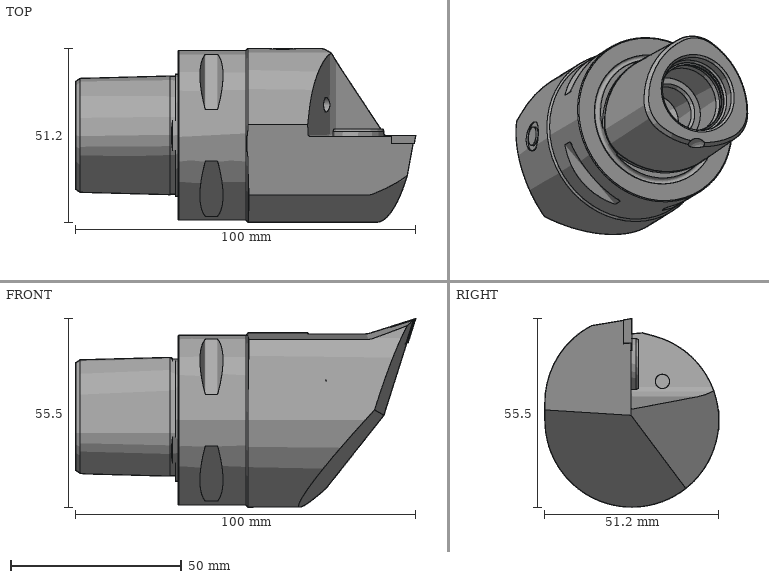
import cadquery as cq
import math


SHANK_END = 27.7
SHANK_RADIUS = 17.5
SHANK_TIP_RADIUS = 16.8
SHANK_CHAMFER = 1.3
CHAMFER_DROP = 0.9
NECK_DROP = 0.1
LOBE_HEIGHT = 1
LOBE_HALF_ANGLE = 27
LOBE_COUNT = 3
NOTCH_DIAMETER = 6.1
NOTCH_Z = -16.9

FLANGE_START = 30
FLANGE_END = 50
FLANGE_RADIUS = 25
FLANGE_CHAMFER = 0.3

COLLAR_START = 29.3
COLLAR_RADIUS = 18
LOBE_TRIM_LENGTH = 0.8
GROOVE_RADIUS = 0.8

SLOT_COUNT = 4
SLOT_X = 39.9
SLOT_DEPTH = 2.8
SLOT_FLOOR_WIDTH = 3.6
SLOT_MOUTH_WIDTH = 6.8
SLOT_FILLET = 0.4

BORE_STEPS = [
    (0, 11.8), (0.6, 11.1), (3.8, 11.1), (4.4, 10.5), (4.8, 10.5), (4.8, 10), (5.4, 10),
    (5.4, 10.5), (7.5, 10.5), (8.9, 10), (20, 10), (20, 8.2), (21, 7.5), (30, 7.5),
]
DRILL_POINT_ANGLE = 118

HEAD_RADIUS = 25.6
HEAD_RAISE = 5.1
HEAD_CHAMFER = 0.6
HEAD_LENGTH = 60
HEAD_CORNER_RADIUS = 30
HEAD_CORNER_X = 51
TOP_EDGE_Y = 3
BLEND_ANGLE = 15.6

TIP_X = 100
TIP_Z = 29.9
FACE_LEAN = 17.6
BACK_SLOPE = 17.5
FACE_CLEARANCE = 7
BACK_CLEARANCE = 6
BODY_INSET = 0.3
FLAT_Z = 25.4
FLAT_SLOPE = 5.5
FLAT_FILLET = 7
UNDERCUT_X = 91.1
UNDERCUT_Z = 1.9
UNDERCUT_ANGLE = 47.5

POCKET_Y = -0.3
WALL_X = 73.9
WALL_Z = 10.8
WALL_LEAN = 21
POCKET_FLOOR_SLOPE = 16
POCKET_FILLET = 6.5
POCKET_EDGE_FILLET = 0.6
BEVEL_X = 90.1
BEVEL_PER_Y = 0.71
BEVEL_PER_Z = 0.26
COOLANT_DIAMETER = 4.2
COOLANT_Y = 9
COOLANT_Z = 11.4
COOLANT_START = 56
COOLANT_END = 80

INSERT_EDGE = 7.5
INSERT_THICKNESS = 2.4
DISC_DIAMETER = 15
DISC_X = 83.1
DISC_Z = 16.5
DISC_RIM = 1.2
DISC_TOP = 1.9
DISC_CHAMFER = 0.3
PLUG_X = 60.9
PLUG_DIAMETER = 5.5
PLUG_SEAT_DIAMETER = 8.6
PLUG_SEAT_Y = 25
PLUG_DEPTH = 6

FAR = 60


def sine(degrees):
    return math.sin(math.radians(degrees))


def cosine(degrees):
    return math.cos(math.radians(degrees))


def tangent(degrees):
    return math.tan(math.radians(degrees))


def half_space(point, normal):
    """A large block on the side of a plane that its normal points to."""
    plane = cq.Plane(origin=point, normal=normal)
    return cq.Workplane(plane).rect(4 * FAR, 4 * FAR).extrude(2 * FAR)


def revolve_about_x(points):
    """A solid of revolution from (x, radius) points."""
    return cq.Workplane("XY").polyline(points).close().revolve(360, (0, 0, 0), (1, 0, 0))


def lobe_point(radius, angle):
    """(y, z) on the three-lobed curve where its normal is at an angle from +Z."""
    support = radius + LOBE_HEIGHT * cosine(LOBE_COUNT * angle)
    slope = -LOBE_COUNT * LOBE_HEIGHT * sine(LOBE_COUNT * angle)
    return (support * sine(angle) + slope * cosine(angle), support * cosine(angle) - slope * sine(angle))


def lobed_outline(work, radius):
    """Adds the six arcs of a three-lobed section: a tight and a wide arc per lobe."""
    pitch = 360 / LOBE_COUNT
    work = work.moveTo(*lobe_point(radius, -LOBE_HALF_ANGLE))
    for i in range(LOBE_COUNT):
        lobe = i * pitch
        work = work.threePointArc(lobe_point(radius, lobe), lobe_point(radius, lobe + LOBE_HALF_ANGLE))
        flat_middle = lobe_point(radius, lobe + pitch / 2)
        work = work.threePointArc(flat_middle, lobe_point(radius, lobe + pitch - LOBE_HALF_ANGLE))
    return work.close()


def lobed_taper(start_x, start_radius, end_x, end_radius):
    work = lobed_outline(cq.Workplane("YZ", origin=(start_x, 0, 0)), start_radius)
    work = lobed_outline(work.workplane(offset=end_x - start_x), end_radius)
    return work.loft(ruled=True)


def make_shank():
    chamfer = lobed_taper(0, SHANK_TIP_RADIUS - CHAMFER_DROP, SHANK_CHAMFER, SHANK_TIP_RADIUS)
    taper = lobed_taper(SHANK_CHAMFER, SHANK_TIP_RADIUS, SHANK_END, SHANK_RADIUS)
    notch = cq.Workplane("XY").sphere(NOTCH_DIAMETER / 2).translate((0, 0, NOTCH_Z))
    return chamfer.union(taper).cut(notch)


def make_neck():
    """The lobed section carried on to the collar, with its lobes turned down to the collar's radius."""
    neck_radius = SHANK_RADIUS - NECK_DROP
    neck = lobed_taper(SHANK_END, neck_radius, COLLAR_START, neck_radius)
    turned = revolve_about_x([
        (SHANK_END, 0),
        (SHANK_END, COLLAR_RADIUS + LOBE_TRIM_LENGTH),
        (SHANK_END + LOBE_TRIM_LENGTH, COLLAR_RADIUS),
        (COLLAR_START, COLLAR_RADIUS),
        (COLLAR_START, 0),
    ])
    collar = cq.Workplane("YZ", origin=(COLLAR_START, 0, 0)).circle(COLLAR_RADIUS)
    return neck.intersect(turned).union(collar.extrude(FLANGE_START - COLLAR_START))


def make_flange():
    flange = cq.Workplane("YZ", origin=(FLANGE_START, 0, 0)).circle(FLANGE_RADIUS)
    flange = flange.extrude(FLANGE_END - FLANGE_START).faces("<X").chamfer(FLANGE_CHAMFER)
    groove = (
        cq.Workplane("XY")
        .moveTo(FLANGE_START, COLLAR_RADIUS)
        .threePointArc(
            (FLANGE_START + GROOVE_RADIUS, COLLAR_RADIUS + GROOVE_RADIUS),
            (FLANGE_START, COLLAR_RADIUS + 2 * GROOVE_RADIUS),
        )
        .close()
        .revolve(360, (0, 0, 0), (1, 0, 0))
    )
    return flange.cut(groove)


def gripper_slot(angle):
    """A chord slot with flared flanks, turned about X from the +Z side."""
    slot = (
        cq.Workplane("XZ", origin=(SLOT_X, FLANGE_RADIUS, FLANGE_RADIUS))
        .moveTo(-SLOT_MOUTH_WIDTH / 2, 0)
        .lineTo(-SLOT_FLOOR_WIDTH / 2, -SLOT_DEPTH)
        .lineTo(SLOT_FLOOR_WIDTH / 2, -SLOT_DEPTH)
        .lineTo(SLOT_MOUTH_WIDTH / 2, 0)
        .close()
        .extrude(2 * FLANGE_RADIUS)
        .faces("<Z")
        .edges("|Y")
        .fillet(SLOT_FILLET)
    )
    return slot.rotate((0, 0, 0), (1, 0, 0), angle)


def make_bore():
    last_x, last_radius = BORE_STEPS[-1]
    apex_x = last_x + last_radius / tangent(DRILL_POINT_ANGLE / 2)
    return revolve_about_x([*BORE_STEPS, (apex_x, 0), (0, 0)])


TIP = (TIP_X, 0, TIP_Z)
FACE_NORMAL = (cosine(FACE_LEAN), -tangent(FACE_CLEARANCE), -sine(FACE_LEAN))
BACK_NORMAL = (-sine(BACK_SLOPE), -tangent(BACK_CLEARANCE), cosine(BACK_SLOPE))


def in_front_of_face(inset):
    return half_space((TIP_X - inset / cosine(FACE_LEAN), 0, TIP_Z), FACE_NORMAL)


def above_back():
    return half_space(TIP, BACK_NORMAL)


def make_head_blank():
    blend_y = HEAD_RADIUS * sine(BLEND_ANGLE)
    blend_z = HEAD_RADIUS * cosine(BLEND_ANGLE)
    top_edge_z = blend_z + (blend_y - TOP_EDGE_Y) * tangent(BLEND_ANGLE)
    diagonal = HEAD_RADIUS * cosine(45)
    blank = (
        cq.Workplane("YZ", origin=(FLANGE_END, 0, 0))
        .moveTo(TOP_EDGE_Y, top_edge_z)
        .lineTo(blend_y, blend_z)
        .threePointArc((diagonal, -diagonal), (-HEAD_RADIUS, 0))
        .lineTo(-HEAD_RADIUS, HEAD_RAISE)
        .threePointArc((-diagonal, HEAD_RAISE + diagonal), (0, HEAD_RAISE + HEAD_RADIUS))
        .close()
        .extrude(HEAD_LENGTH)
    )
    head_end = FLANGE_END + HEAD_LENGTH
    envelope = revolve_about_x([
        (FLANGE_END, 0),
        (FLANGE_END, HEAD_RADIUS - HEAD_CHAMFER),
        (FLANGE_END + HEAD_CHAMFER, HEAD_RADIUS),
        (HEAD_CORNER_X, HEAD_CORNER_RADIUS),
        (HEAD_CORNER_X, FAR),
        (head_end, FAR),
        (head_end, 0),
    ])
    return blank.intersect(envelope)


def make_top_cut():
    """The space above the flat top and the rising back, with a rounded valley between them."""
    flat_normal = (0, -sine(FLAT_SLOPE), cosine(FLAT_SLOPE))
    space = half_space((TIP_X, 0, FLAT_Z), flat_normal).intersect(above_back())
    valley = (TIP_X - (TIP_Z - FLAT_Z) / tangent(BACK_SLOPE), 0, FLAT_Z)
    return space.edges(cq.selectors.NearestToPointSelector(valley)).fillet(FLAT_FILLET)


def make_undercut():
    normal = (sine(UNDERCUT_ANGLE), -tangent(FACE_CLEARANCE), -cosine(UNDERCUT_ANGLE))
    return half_space((UNDERCUT_X, 0, UNDERCUT_Z), normal)


def make_pocket():
    """The chip pocket beside the cutting corner, open to +X, +Y and +Z."""
    fillet_angle = 90 - WALL_LEAN - POCKET_FLOOR_SLOPE
    setback = POCKET_FILLET * tangent(fillet_angle / 2)
    corner_x = WALL_X + setback * sine(WALL_LEAN)
    corner_z = WALL_Z - setback * cosine(WALL_LEAN)
    rise = FAR - corner_z
    run = TIP_X + FAR - corner_x
    pocket = (
        cq.Workplane("XZ", origin=(0, FAR, 0))
        .moveTo(corner_x - rise * tangent(WALL_LEAN), FAR)
        .lineTo(corner_x, corner_z)
        .lineTo(corner_x + run, corner_z - run * tangent(POCKET_FLOOR_SLOPE))
        .lineTo(corner_x + run, FAR)
        .close()
        .extrude(FAR - POCKET_Y)
    )
    corner = cq.selectors.NearestToPointSelector((corner_x, FAR / 2, corner_z))
    pocket = pocket.edges(corner).fillet(POCKET_FILLET)
    return pocket.faces("<Y").edges().fillet(POCKET_EDGE_FILLET)


def make_bevel():
    """The slanting cut that frees the +Y side behind the cutting corner."""
    bevel = half_space((BEVEL_X, 0, 0), (1, BEVEL_PER_Y, -BEVEL_PER_Z))
    return bevel.intersect(half_space((0, POCKET_Y, 0), (0, 1, 0)))


def make_coolant_hole():
    hole = cq.Workplane("YZ", origin=(COOLANT_START, COOLANT_Y, COOLANT_Z))
    return hole.circle(COOLANT_DIAMETER / 2).extrude(COOLANT_END - COOLANT_START)


def make_insert_blank():
    """A rhombic prism with one corner at the tip and its top face at y = 0."""
    along_face = (-INSERT_EDGE * sine(FACE_LEAN), -INSERT_EDGE * cosine(FACE_LEAN))
    along_back = (-INSERT_EDGE * cosine(BACK_SLOPE), -INSERT_EDGE * sine(BACK_SLOPE))
    return (
        cq.Workplane("XZ", origin=TIP)
        .line(*along_face)
        .line(*along_back)
        .line(-along_face[0], -along_face[1])
        .close()
        .extrude(INSERT_THICKNESS)
    )


def make_plug():
    plug = cq.Workplane("XZ", origin=(PLUG_X, HEAD_RADIUS, 0))
    return plug.circle(PLUG_DIAMETER / 2).extrude(PLUG_DEPTH)


def make_plug_seat():
    seat = cq.Workplane("XZ", origin=(PLUG_X, HEAD_RADIUS, 0))
    return seat.circle(PLUG_SEAT_DIAMETER / 2).extrude(HEAD_RADIUS - PLUG_SEAT_Y)


def make_disc():
    disc = cq.Workplane("XZ", origin=(DISC_X, DISC_TOP, DISC_Z)).circle(DISC_DIAMETER / 2)
    disc = disc.extrude(DISC_TOP - POCKET_Y)
    return disc.faces(">Y").chamfer(DISC_TOP - DISC_RIM, DISC_CHAMFER)


def make_head():
    head = make_head_blank()
    cuts = [make_top_cut(), in_front_of_face(BODY_INSET), make_undercut(), make_pocket(), make_bevel(),
            make_coolant_hole(), make_insert_blank(), make_plug_seat(), make_plug()]
    for cut in cuts:
        head = head.cut(cut)
    return head


def make_body():
    body = make_flange().union(make_neck()).union(make_shank()).union(make_head()).cut(make_bore())
    for i in range(SLOT_COUNT):
        body = body.cut(gripper_slot(45 + i * 360 / SLOT_COUNT))
    return body


body = make_body()
insert = make_insert_blank().cut(in_front_of_face(0)).cut(above_back())
disc = make_disc()
plug = make_plug()

result = cq.Compound.makeCompound([body.val(), insert.val(), disc.val(), plug.val()])